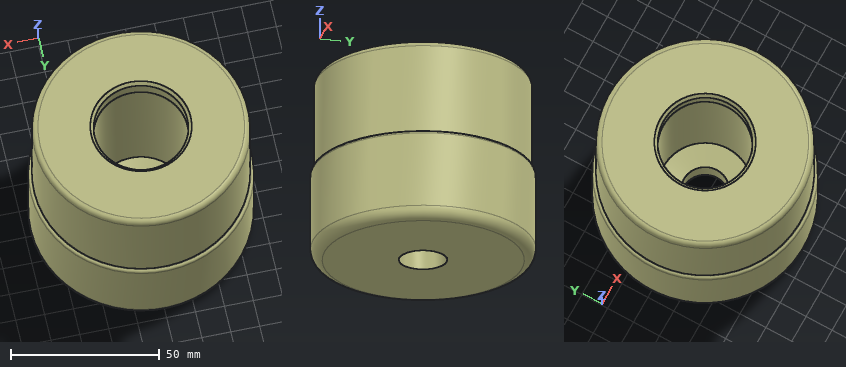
import cadquery as cq
import math

base_diameter = 76.2
total_height = 65.0
base_height = 31.5
sleeve_diameter = 73.75

bottom_fillet = 4.0
ledge_fillet = 1.0
top_fillet = 2.0
bore_chamfer = 1.15

bore_diameter = 32.0
through_diameter = 16.3
cone_slope = 16.0
hub_diameter = 45.7
hub_recess = 5.9
bore_floor = 9.15

hub_top = total_height - hub_recess
cone_height = (bore_diameter - through_diameter) / 2 * math.tan(math.radians(cone_slope))


def make_base():
    """Round base with a raised hub and a cone-bottomed bore."""
    foot = cq.Workplane("XY").circle(base_diameter / 2).extrude(base_height)
    foot = foot.faces("<Z").edges().fillet(bottom_fillet)
    foot = foot.faces(">Z").edges().fillet(ledge_fillet)

    hub = cq.Workplane("XY").circle(hub_diameter / 2).extrude(hub_top)

    bore_profile = [
        (0, 0),
        (through_diameter / 2, 0),
        (through_diameter / 2, bore_floor),
        (bore_diameter / 2, bore_floor + cone_height),
        (bore_diameter / 2, hub_top),
        (0, hub_top),
    ]
    bore = cq.Workplane("XZ").polyline(bore_profile).close().revolve(360, (0, 0), (0, 1))
    return foot.union(hub).cut(bore)


def make_sleeve():
    """Sleeve around the hub, with a lip that covers the end of the hub."""
    sleeve = (
        cq.Workplane("XY")
        .workplane(offset=base_height)
        .circle(sleeve_diameter / 2)
        .extrude(total_height - base_height)
    )
    sleeve = sleeve.faces(">Z").edges().fillet(top_fillet)

    hub_socket = cq.Workplane("XY").circle(hub_diameter / 2).extrude(hub_top)
    lip_bore = cq.Workplane("XY").circle(bore_diameter / 2).extrude(total_height)
    sleeve = sleeve.cut(hub_socket).cut(lip_bore)

    return sleeve.faces(">Z").edges(cq.selectors.RadiusNthSelector(0)).chamfer(bore_chamfer)


base = make_base()
sleeve = make_sleeve()

result = cq.Compound.makeCompound([base.solids().val(), sleeve.solids().val()])